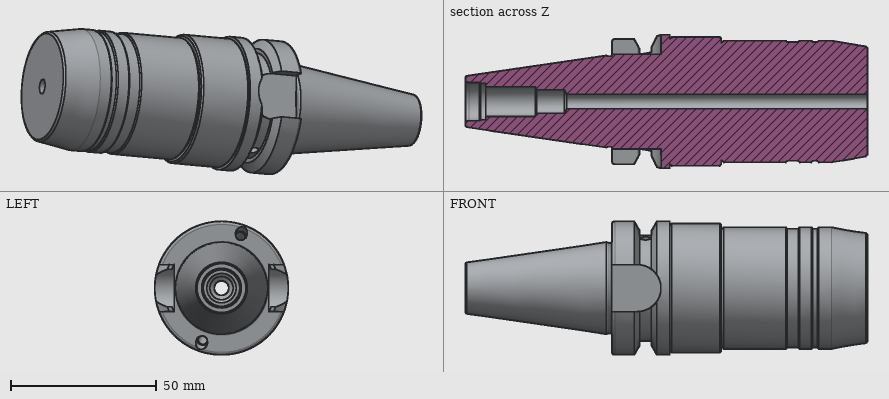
import cadquery as cq
import math


gauge_dia = 31.75
taper_rate = 7 / 24
shank_length = 48.4
shank_end_chamfer = 0.5
neck_dia = 31.2
neck_ramp_length = 1.0
neck_fillet_radius = 0.5

flange_dia = 46.0
flange_start = 2.0
flange_end = 22.0
flange_edge_radius = 1.0
groove_center = 13.6
groove_floor_width = 4.0
groove_floor_dia = 36.5
groove_front_edge = 9.7
groove_rear_edge = 17.5
groove_wall_angle = 30.0

projection = 90.0
collar_dia = 44.5
collar_end = 39.7
collar_chamfer = 0.6
sleeve_dia = 42.0
sleeve_edge_chamfer = 0.8
nose_start = 77.4
nose_dia = 38.0
nose_chamfer = 0.7

ring_groove_dia = 41.0
ring_groove_spans = [(61.8, 66.6), (70.6, 73.2)]

key_width = 16.1
key_flat_offset = 16.3
key_slot_end = 18.9

bore_entry_dia = 13.7
bore_chamfer_depth = 1.2
entry_dia = 13.1
entry_depth = 4.8
guide_dia = 12.5
guide_start_depth = 5.4
guide_depth = 7.0
thread_dia = 10.11
thread_depth = 24.0
pilot_dia = 8.0
pilot_depth = 34.0
through_dia = 4.92
drill_point_angle = 118.0

coolant_turn = 20.0
coolant_tilt = 30.0
coolant_entry_radius = 20.0
coolant_entry_dia = 4.0
coolant_entry_depth = 2.0
coolant_dia = 3.24


def make_outer_body():
    """Shank, flange and chuck body turned from one half outline."""
    shank_start = -shank_length
    chamfer_end = shank_start + shank_end_chamfer
    shank_end_radius = (gauge_dia + taper_rate * chamfer_end) / 2
    flange_radius = flange_dia / 2
    floor_radius = groove_floor_dia / 2
    wall_slope = math.tan(math.radians(groove_wall_angle))
    floor_start = groove_center - groove_floor_width / 2
    floor_end = groove_center + groove_floor_width / 2
    front_wall_radius = flange_radius - (floor_start - groove_front_edge) / wall_slope
    rear_wall_radius = flange_radius - (groove_rear_edge - floor_end) / wall_slope
    collar_radius = collar_dia / 2
    sleeve_radius = sleeve_dia / 2
    ring_radius = ring_groove_dia / 2
    ring_groove_depth = sleeve_radius - ring_radius
    nose_radius = nose_dia / 2

    shank = [
        (shank_start, shank_end_radius - shank_end_chamfer),
        (chamfer_end, shank_end_radius),
        (0, gauge_dia / 2),
        (neck_ramp_length, neck_dia / 2),
        (flange_start - neck_fillet_radius, neck_dia / 2),
    ]
    neck_fillet_end = (flange_start, neck_dia / 2 + neck_fillet_radius)
    rounded_edge_start = (flange_start, flange_radius - flange_edge_radius)
    rounded_edge_end = (flange_start + flange_edge_radius, flange_radius)
    flange_and_chuck = [
        (groove_front_edge, flange_radius),
        (floor_start, front_wall_radius),
        (floor_start, floor_radius),
        (floor_end, floor_radius),
        (floor_end, rear_wall_radius),
        (groove_rear_edge, flange_radius),
        (flange_end, flange_radius),
        (flange_end, collar_radius - collar_chamfer),
        (flange_end + collar_chamfer, collar_radius),
        (collar_end - collar_chamfer, collar_radius),
        (collar_end, collar_radius - collar_chamfer),
        (collar_end, sleeve_radius - sleeve_edge_chamfer),
        (collar_end + sleeve_edge_chamfer, sleeve_radius),
    ]
    for start, end in ring_groove_spans:
        flange_and_chuck += [
            (start, sleeve_radius),
            (start + ring_groove_depth, ring_radius),
            (end - ring_groove_depth, ring_radius),
            (end, sleeve_radius),
        ]
    flange_and_chuck += [
        (nose_start, sleeve_radius),
        (projection - nose_chamfer, nose_radius),
        (projection, nose_radius - nose_chamfer),
    ]
    outline = (
        cq.Workplane("XY")
        .moveTo(shank_start, 0)
        .polyline(shank, includeCurrent=True)
        .radiusArc(neck_fillet_end, -neck_fillet_radius)
        .lineTo(*rounded_edge_start)
        .radiusArc(rounded_edge_end, flange_edge_radius)
        .polyline(flange_and_chuck, includeCurrent=True)
        .lineTo(projection, 0)
        .close()
    )
    return outline.revolve(360, (0, 0, 0), (1, 0, 0))


def make_bore():
    """Stepped bore: chamfered entry, guide, thread hole, pilot and through hole."""
    start = -shank_length
    point_slope = math.tan(math.radians(drill_point_angle / 2))
    thread_end = start + thread_depth
    pilot_end = start + pilot_depth
    steps = [
        (start, 0),
        (start, bore_entry_dia / 2),
        (start + bore_chamfer_depth, entry_dia / 2),
        (start + entry_depth, entry_dia / 2),
        (start + guide_start_depth, guide_dia / 2),
        (start + guide_depth, guide_dia / 2),
        (start + guide_depth, thread_dia / 2),
        (thread_end, thread_dia / 2),
        (thread_end + (thread_dia - pilot_dia) / 2 / point_slope, pilot_dia / 2),
        (pilot_end, pilot_dia / 2),
        (pilot_end + (pilot_dia - through_dia) / 2 / point_slope, through_dia / 2),
        (projection, through_dia / 2),
        (projection, 0),
    ]
    return cq.Workplane("XY").polyline(steps).close().revolve(360, (0, 0, 0), (1, 0, 0))


def make_key_slot(side):
    """Round-ended slot cutter, open towards the shank, on the +Y (side = 1) or -Y (side = -1) flank."""
    half_width = key_width / 2
    arc_center = key_slot_end - half_width
    depth = flange_dia / 2 - key_flat_offset
    straight = cq.Workplane("XY").box(
        arc_center, depth, key_width, centered=(False, False, True)
    ).translate((0, key_flat_offset, 0))
    round_end = cq.Workplane(
        cq.Plane((arc_center, key_flat_offset, 0), (1, 0, 0), (0, 1, 0))
    ).circle(half_width).extrude(depth)
    slot = straight.union(round_end)
    if side < 0:
        slot = slot.mirror("XZ")
    return slot


def make_coolant_holes():
    """Sloping hole from the flange face and the radial hole from the groove floor that meets it."""
    tilt = math.radians(coolant_tilt)
    run = groove_center - flange_start
    meeting_radius = coolant_entry_radius - run * math.tan(tilt)
    direction = cq.Vector(math.cos(tilt), 0, -math.sin(tilt))
    entry = cq.Vector(flange_start, 0, coolant_entry_radius)
    lead = coolant_entry_dia
    cutter_start = entry - direction * lead
    wide = cq.Solid.makeCylinder(
        coolant_entry_dia / 2, lead + coolant_entry_depth, cutter_start, direction
    )
    narrow = cq.Solid.makeCylinder(
        coolant_dia / 2, run / math.cos(tilt), entry, direction
    )
    radial = cq.Solid.makeCylinder(
        coolant_dia / 2,
        groove_floor_dia / 2 - meeting_radius,
        cq.Vector(groove_center, 0, meeting_radius),
        cq.Vector(0, 0, 1),
    )
    return cq.Workplane(wide).union(cq.Workplane(narrow)).union(cq.Workplane(radial))


result = make_outer_body().cut(make_bore())
for side in (1, -1):
    result = result.cut(make_key_slot(side))
coolant_holes = make_coolant_holes()
for turn in (coolant_turn, coolant_turn + 180):
    result = result.cut(coolant_holes.rotate((0, 0, 0), (1, 0, 0), turn))